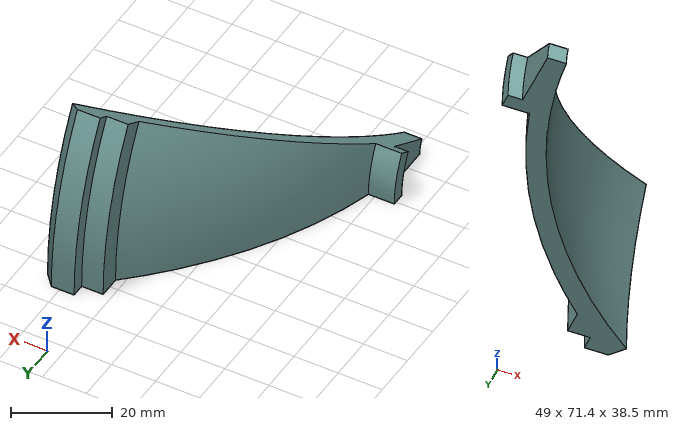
import cadquery as cq
import math

sector_angle = 30.0

bore_radius = 6.56
collar_inner_radius = 19.1
collar_outer_radius = 22.1
rim_outer_radius = 77.06
rim_step_height = 3.0
shoulder_radius = rim_outer_radius - rim_step_height
rim_inner_radius = shoulder_radius

collar_depth = 3.1
shoulder_start = 36.33
rim_start = 41.2
total_length = 48.97
chamfer_length = 2.6
chamfer_start = total_length - chamfer_length

inner_half_length = 137.9
inner_half_width = 102.95
outer_half_length = 147.0
outer_half_width = 108.77

wall_shoulder_radius = 69.15


def ellipse_angle(half_width, radius):
    """Parameter angle in degrees, on the collar side, of the point at the given radius."""
    return 180 - math.degrees(math.asin(radius / half_width))


def length_offset(half_length, half_width, radius):
    """Distance along X from the ellipse centre back to the point at the given radius."""
    return half_length * math.sqrt(1 - (radius / half_width) ** 2)


def make_profile():
    """Radial section in the XY plane, Y being the distance from the axis."""
    shoulder_offset = length_offset(outer_half_length, outer_half_width, wall_shoulder_radius)
    collar_offset = length_offset(outer_half_length, outer_half_width, collar_outer_radius)
    wall_start = shoulder_start + shoulder_offset - collar_offset
    return (
        cq.Workplane("XY")
        .moveTo(collar_depth, bore_radius)
        .lineTo(collar_depth, collar_inner_radius)
        .lineTo(0, collar_inner_radius)
        .lineTo(0, collar_outer_radius)
        .lineTo(wall_start, collar_outer_radius)
        .ellipseArc(
            outer_half_length,
            outer_half_width,
            ellipse_angle(outer_half_width, wall_shoulder_radius),
            ellipse_angle(outer_half_width, collar_outer_radius),
            sense=-1,
        )
        .lineTo(shoulder_start, shoulder_radius)
        .lineTo(rim_start, shoulder_radius)
        .lineTo(rim_start, rim_outer_radius)
        .lineTo(chamfer_start, rim_outer_radius)
        .lineTo(total_length, rim_inner_radius)
        .ellipseArc(
            inner_half_length,
            inner_half_width,
            ellipse_angle(inner_half_width, rim_inner_radius),
            ellipse_angle(inner_half_width, bore_radius),
            sense=1,
        )
        .close()
    )


result = make_profile().revolve(sector_angle, (0, 0, 0), (1, 0, 0))